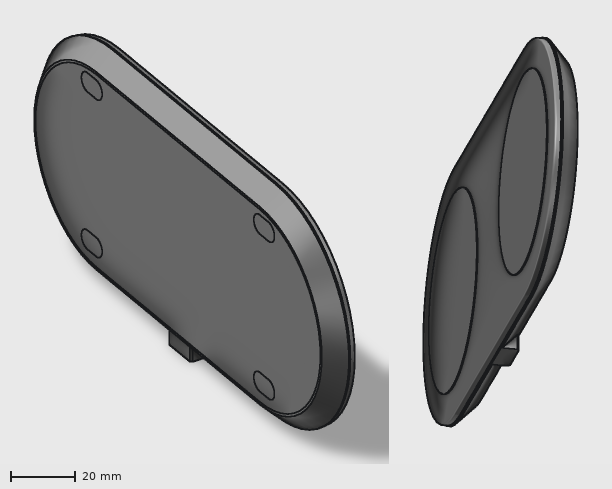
import cadquery as cq

length = 178.7
height = 84.4
arc_spacing = length - height

housing_depth = 6.8
cover_back = 8.8
overall_depth = 9.1

front_bevel = 6.0
rim_chamfer_depth = 0.4

cover_inset = 0.2
cover_edge_fillet = 0.7
pad_diameter = 64.7

plate_inset = 7.0
plate_thickness = 1.0

foot_length = 12.0
foot_width = 7.0
foot_thickness = 0.5
foot_spacing_x = 99.7
foot_spacing_z = 57.5
foot_center_z = 0.9

port_width = 13.2
port_front = 0.5
port_top = -32.2
port_corner_chamfer = 0.7


def stadium(inset, y_start, y_end):
    """Stadium prism whose outline lies inside the overall outline by the given inset."""
    outline_height = height - 2 * inset
    return (
        cq.Workplane("XZ", origin=(0, y_start, 0))
        .slot2D(arc_spacing + outline_height, outline_height)
        .extrude(y_start - y_end)
    )


def make_port_block():
    block = (
        cq.Workplane("XY")
        .box(port_width, front_bevel - port_front, port_top + height / 2, centered=(True, False, False))
        .translate((0, port_front, -height / 2))
    )
    return block.edges("|Z and <Y").chamfer(port_corner_chamfer)


def make_housing():
    body = stadium(0, 0, housing_depth).faces("<Y").chamfer(front_bevel)
    body = body.faces(">Y").chamfer(rim_chamfer_depth, cover_inset)
    plate_recess = stadium(plate_inset, 0, plate_thickness)
    return body.union(make_port_block()).cut(plate_recess)


def make_cover():
    cover = stadium(cover_inset, housing_depth, cover_back).faces(">Y").edges().fillet(cover_edge_fillet)
    pads = (
        cq.Workplane("XZ", origin=(0, cover_back, 0))
        .pushPoints([(-arc_spacing / 2, 0), (arc_spacing / 2, 0)])
        .circle(pad_diameter / 2)
        .extrude(cover_back - overall_depth)
    )
    return cover.union(pads)


def make_foot(x, z):
    return (
        cq.Workplane("XZ", origin=(x, 0, z))
        .slot2D(foot_length, foot_width)
        .extrude(-foot_thickness)
    )


def make_base_plate(feet):
    plate = stadium(plate_inset, 0, plate_thickness)
    for foot in feet:
        plate = plate.cut(foot)
    return plate


feet = [
    make_foot(side_x * foot_spacing_x / 2, foot_center_z + side_z * foot_spacing_z / 2)
    for side_x in (-1, 1)
    for side_z in (-1, 1)
]
housing = make_housing()
cover = make_cover()
base_plate = make_base_plate(feet)

result = cq.Compound.makeCompound(
    [housing.val(), cover.val(), base_plate.val(), *[foot.val() for foot in feet]]
)